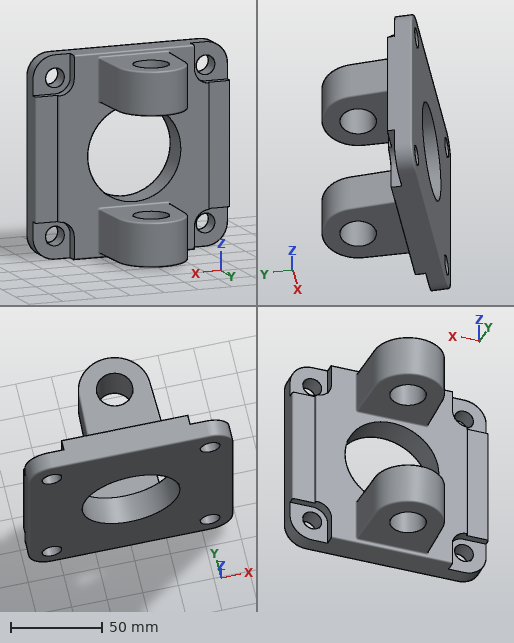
import cadquery as cq
import math

plate_size = 115.0
plate_thickness = 16.0
plate_corner_radius = 13.0
edge_radius = 1.0

bore_diameter = 55.0
bolt_spacing = 89.0
bolt_hole_diameter = 11.0

bolt_seat_height = 10.0
bolt_seat_radius = 9.0
side_step_height = 14.0

lug_inner_z = 30.0
lug_outer_z = 55.0
lug_tip_y = 61.0
lug_tip_radius = 20.0
lug_taper = math.radians(2.0)
pin_hole_diameter = 20.0
pin_y = lug_tip_y - lug_tip_radius

half_plate = plate_size / 2
half_bolt_spacing = bolt_spacing / 2
overrun = 5.0
pick_tolerance = 0.01


def box_between(corner_a, corner_b):
    """Axis-aligned box between any two opposite corners."""
    low = tuple(min(a, b) for a, b in zip(corner_a, corner_b))
    size = [abs(a - b) for a, b in zip(corner_a, corner_b)]
    return cq.Workplane("XY").box(*size, centered=False).translate(low)


def cylinder_along_y(radius, x, z, y_start, y_end):
    """Cylinder parallel to Y, centred on (x, z)."""
    base_centre = cq.Vector(x, y_start, z)
    y_direction = cq.Vector(0, 1, 0)
    return cq.Workplane(cq.Solid.makeCylinder(radius, y_end - y_start, base_centre, y_direction))


def plate_blank():
    """Rounded square plate, stepped down along both X sides, with rounded rims."""
    blank = (
        cq.Workplane("XZ")
        .rect(plate_size, plate_size)
        .extrude(-plate_thickness)
        .edges("|Y")
        .fillet(plate_corner_radius)
    )
    for side in (-1, 1):
        step = box_between(
            (side * half_bolt_spacing, side_step_height, -half_plate - overrun),
            (side * (half_plate + overrun), plate_thickness + overrun, half_plate + overrun),
        )
        blank = blank.cut(step)
    blank = blank.faces("<Y").edges().fillet(edge_radius)
    blank = blank.faces(">Y").edges().fillet(edge_radius)
    for side in (-1, 1):
        outer_edge = cq.selectors.NearestToPointSelector((side * half_plate, side_step_height, 0))
        blank = blank.edges(outer_edge).fillet(edge_radius)
    return blank


def bolt_seat(x_side, z_side):
    """Recess open to the plate corner, with a round inner corner around the bolt hole."""
    x = x_side * half_bolt_spacing
    z = z_side * half_bolt_spacing
    y_end = plate_thickness + overrun
    seat = cylinder_along_y(bolt_seat_radius, x, z, bolt_seat_height, y_end)
    outer_x = x_side * (half_plate + overrun)
    outer_z = z_side * (half_plate + overrun)
    inner_x = x - x_side * bolt_seat_radius
    inner_z = z - z_side * bolt_seat_radius
    for x_from, z_from in ((inner_x, z), (x, inner_z)):
        opening = box_between((x_from, bolt_seat_height, z_from), (outer_x, y_end, outer_z))
        seat = seat.union(opening)
    return seat


def lug(z_side):
    """Round-ended lug, slightly wider at its root, with rounded edges on both flat faces."""
    tangent_x = lug_tip_radius * math.cos(lug_taper)
    tangent_y = pin_y + lug_tip_radius * math.sin(lug_taper)
    root_y = plate_thickness - edge_radius
    root_x = tangent_x + (tangent_y - root_y) * math.tan(lug_taper)
    z_low = min(z_side * lug_inner_z, z_side * lug_outer_z)
    return (
        cq.Workplane("XY", origin=(0, 0, z_low))
        .moveTo(-root_x, root_y)
        .lineTo(-tangent_x, tangent_y)
        .threePointArc((0, lug_tip_y), (tangent_x, tangent_y))
        .lineTo(root_x, root_y)
        .close()
        .extrude(lug_outer_z - lug_inner_z)
        .faces("|Z")
        .edges("not <Y")
        .fillet(edge_radius)
    )


def root_edges(body):
    """Edges where the lugs meet the back face of the plate."""
    root_half_width = lug_tip_radius + edge_radius
    region = cq.selectors.BoxSelector(
        (-root_half_width, plate_thickness - pick_tolerance, -lug_outer_z - pick_tolerance),
        (root_half_width, plate_thickness + pick_tolerance, lug_outer_z + pick_tolerance),
        boundingbox=True,
    )
    return body.edges(region)


def pin_hole():
    """Cutter for the pin hole through both lugs."""
    half_length = lug_outer_z + overrun
    return cq.Workplane("XY").center(0, pin_y).circle(pin_hole_diameter / 2).extrude(half_length, both=True)


def through_hole(diameter, x, z):
    """Cutter for a hole along Y through the plate only."""
    return cylinder_along_y(diameter / 2, x, z, -overrun, plate_thickness + overrun)


plate = plate_blank()
for x_sign in (-1, 1):
    for z_sign in (-1, 1):
        plate = plate.cut(bolt_seat(x_sign, z_sign))
        bolt_hole = through_hole(
            bolt_hole_diameter, x_sign * half_bolt_spacing, z_sign * half_bolt_spacing)
        plate = plate.cut(bolt_hole)

clevis = plate.union(lug(1)).union(lug(-1))
clevis = root_edges(clevis).fillet(edge_radius)
result = clevis.cut(through_hole(bore_diameter, 0, 0)).cut(pin_hole())